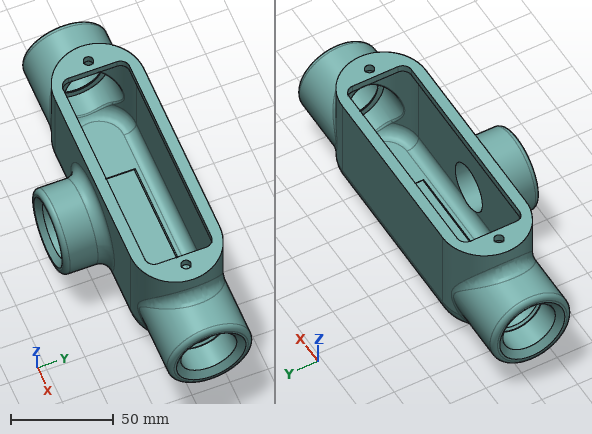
import cadquery as cq

length = 192.0
height = 58.0
side_reach = 46.9

body_length = 145.2
body_width = 46.9
wall = 4.0
bottom_round = 10.5

opening_length = 115.6
opening_width = 35.0
opening_corner = 4.8
lip_height = 4.0

screw_hole_diameter = 5.0
screw_spacing = 126.7

hub_diameter = 44.4
hub_axis_height = 22.3
hub_rim_round = 2.7
hub_blend = 6.1
mouth_diameter = 36.5
mouth_depth = 3.0
bore_diameter = 29.4
bore_depth = 16.1
seat_diameter = 28.5
throat_diameter = 26.5
throat_depth = 17.5
relief_diameter = 33.6
relief_round = 1.5

panel_length = 58.4
panel_width = 21.5
panel_height = 1.0

tolerance = 0.002


def round_ended_block(block_length, block_width, base, top, base_round):
    """Upright block with semicircular ends and a rounded bottom edge."""
    outline = cq.Workplane("XY", origin=(0, 0, base)).slot2D(block_length, block_width)
    block = outline.extrude(top - base)
    return block.faces("<Z").edges().fillet(base_round)


def hub_plane(reach, x, y):
    """Plane on a hub face whose normal (x, y) points out of the hub."""
    origin = (reach * x, reach * y, hub_axis_height)
    return cq.Plane(origin=origin, xDir=(-y, x, 0), normal=(x, y, 0))


def make_hub(plane, reach):
    """Plain solid hub from its face inward to the body centre."""
    return cq.Workplane(plane).workplane(offset=-reach).circle(hub_diameter / 2).extrude(reach)


def make_passage(plane, reach):
    """Flared mouth, bore, stop and throat, turned about the hub axis."""
    profile = [
        (0, 0),
        (mouth_diameter / 2, 0),
        (bore_diameter / 2, -mouth_depth),
        (bore_diameter / 2, -bore_depth),
        (seat_diameter / 2, -bore_depth),
        (throat_diameter / 2, -throat_depth),
        (throat_diameter / 2, -reach),
        (0, -reach),
    ]
    section = cq.Plane(origin=plane.origin, xDir=plane.xDir, normal=-plane.yDir)
    return cq.Workplane(section).polyline(profile).close().revolve(360, (0, 0), (0, 1))


def lies_on(edge, piece):
    """True when the middle of the edge touches a solid of the piece."""
    middle = cq.Vertex.makeVertex(*edge.positionAt(0.5).toTuple())
    return any(solid.distance(middle) < tolerance for solid in piece.solids().vals())


body = round_ended_block(body_length, body_width, 0, height, bottom_round)

hub_mounts = [
    (hub_plane(length / 2, -1, 0), length / 2),
    (hub_plane(length / 2, 1, 0), length / 2),
    (hub_plane(side_reach, 0, -1), side_reach),
]
hubs = [make_hub(plane, reach) for plane, reach in hub_mounts]
result = body
for hub in hubs:
    result = result.union(hub)

joint_edges = [
    edge for edge in result.edges("not %LINE").vals()
    if lies_on(edge, body) and any(lies_on(edge, hub) for hub in hubs)
]
result = result.newObject(joint_edges).fillet(hub_blend)
result = result.faces("<X or >X or <Y").edges().fillet(hub_rim_round)

cavity = round_ended_block(
    body_length - 2 * wall,
    body_width - 2 * wall,
    wall,
    height - lip_height,
    bottom_round - wall,
)
opening = (
    cq.Workplane("XY", origin=(0, 0, height))
    .rect(opening_length, opening_width)
    .extrude(-2 * lip_height)
    .edges("|Z")
    .fillet(opening_corner)
)
result = result.cut(cavity).cut(opening)

relief_length = length - 2 * throat_depth
relief = (
    cq.Workplane("YZ", origin=(-relief_length / 2, 0, hub_axis_height))
    .circle(relief_diameter / 2)
    .extrude(relief_length)
    .cut(cavity)
)
result = result.cut(relief)
relief_edges = [
    edge for edge in result.edges("not %LINE").vals()
    if lies_on(edge, relief) and lies_on(edge, cavity)
]
result = result.newObject(relief_edges).fillet(relief_round)

for plane, reach in hub_mounts:
    result = result.cut(make_passage(plane, reach).cut(cavity))

screw_holes = (
    cq.Workplane("XY", origin=(0, 0, height))
    .pushPoints([(-screw_spacing / 2, 0), (screw_spacing / 2, 0)])
    .circle(screw_hole_diameter / 2)
    .extrude(-2 * lip_height)
)
result = result.cut(screw_holes)

panel = (
    cq.Workplane("XY", origin=(0, 0, wall / 2))
    .rect(panel_length, panel_width)
    .extrude(wall / 2 + panel_height)
    .faces(">Z")
    .chamfer(panel_height)
)
result = result.union(panel).solids()